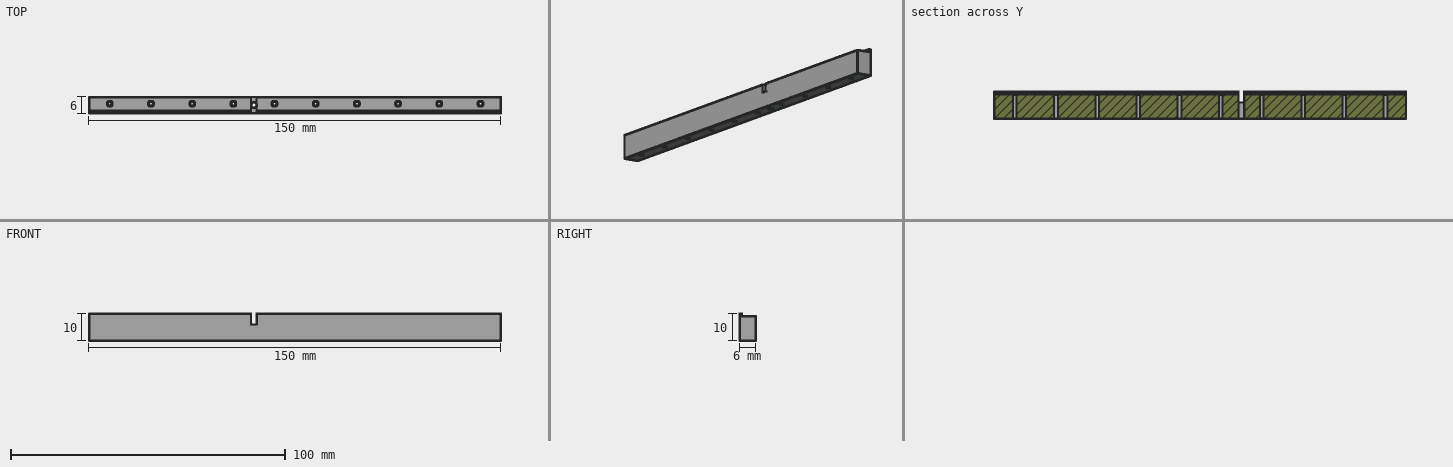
import cadquery as cq

length = 150.0
lip_thickness = length / 150
depth = 6 * lip_thickness
height = 10 * lip_thickness

lip_height = lip_thickness
body_height = height - lip_height

edge_chamfer = lip_thickness / 5

hole_count = 10
hole_pitch = length / hole_count
hole_diameter = 1.5
countersink_diameter = 2.1
countersink_angle = 90
hole_row_y = lip_thickness / 2

slot_x = -hole_pitch
slot_width = 2 * lip_thickness
slot_depth = 4 * lip_thickness
opening_diameter = slot_width


def make_strip():
    """L-shaped profile extruded along X, centred on X and Y, standing on Z = 0."""
    back = depth / 2
    front = -depth / 2
    lip_back = front + lip_thickness
    outline = [
        (front, 0),
        (back, 0),
        (back, body_height),
        (lip_back, body_height),
        (lip_back, height),
        (front, height),
    ]
    profile = cq.Workplane("YZ").workplane(offset=-length / 2).polyline(outline).close()
    strip = profile.extrude(length)
    return strip.faces("<X or >X or <Y or >Y or <Z or >Z").edges().chamfer(edge_chamfer)


def drill_holes(strip):
    """Evenly pitched holes running the full height, countersunk at the body top."""
    top = strip.copyWorkplane(cq.Workplane("XY", origin=(0, hole_row_y, body_height)))
    row = top.rarray(hole_pitch, 1.5, hole_count, 1)
    return row.cskHole(hole_diameter, countersink_diameter, countersink_angle)


def make_slot():
    """Full-depth cross slot together with the round opening below it."""
    floor_z = height - slot_depth
    slot = cq.Workplane("XY", origin=(slot_x, 0, floor_z)).rect(slot_width, depth).extrude(slot_depth)
    opening = cq.Workplane("XY", origin=(slot_x, 0, 0)).circle(opening_diameter / 2).extrude(height)
    return slot.union(opening)


strip_with_holes = drill_holes(make_strip())
result = strip_with_holes.cut(make_slot())